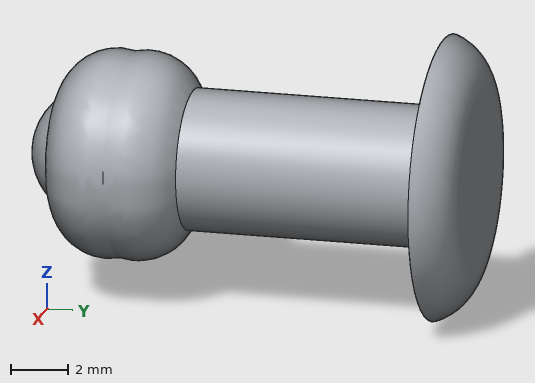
import cadquery as cq
import math

total_length = 16.02
head_radius = 5.038
head_thickness = 1.31
shaft_radius = 2.5
shaft_length = 8.99
round_radius = 2.0
lobe_center_radius = 1.68
lobe_spacing = 1.0
tip_radius = 1.86


def rounded_reach(offset):
    """Distance along one axis to the rounding circle at an offset along the other."""
    return math.sqrt(round_radius**2 - offset**2)


head_flat_radius = head_radius - rounded_reach(round_radius - head_thickness)

collar_start = -shaft_length
back_lobe = collar_start - rounded_reach(shaft_radius - lobe_center_radius)
front_lobe = back_lobe - lobe_spacing
crease = (back_lobe + front_lobe) / 2
crease_radius = lobe_center_radius + rounded_reach(lobe_spacing / 2)
collar_end = front_lobe - rounded_reach(tip_radius - lobe_center_radius)

tip_end = head_thickness - total_length
cap_height = collar_end - tip_end
dome_radius = (tip_radius**2 + cap_height**2) / (2 * cap_height)


def point_on_arc(center, radius, start, end):
    """Point halfway along the shorter arc between two points of a circle."""
    angles = [math.atan2(p[1] - center[1], p[0] - center[0]) for p in (start, end)]
    middle = sum(angles) / 2
    return center[0] + radius * math.cos(middle), center[1] + radius * math.sin(middle)


head_top = (head_flat_radius, head_thickness)
head_rim = (head_radius, 0)
collar_back = (shaft_radius, collar_start)
collar_crease = (crease_radius, crease)
collar_front = (tip_radius, collar_end)
tip = (0, tip_end)

head_center = (head_flat_radius, head_thickness - round_radius)
back_center = (lobe_center_radius, back_lobe)
front_center = (lobe_center_radius, front_lobe)
dome_center = (0, tip_end + dome_radius)

profile = (
    cq.Workplane("XY")
    .moveTo(0, head_thickness)
    .lineTo(*head_top)
    .threePointArc(point_on_arc(head_center, round_radius, head_top, head_rim), head_rim)
    .lineTo(shaft_radius, 0)
    .lineTo(*collar_back)
    .threePointArc(point_on_arc(back_center, round_radius, collar_back, collar_crease), collar_crease)
    .threePointArc(point_on_arc(front_center, round_radius, collar_crease, collar_front), collar_front)
    .threePointArc(point_on_arc(dome_center, dome_radius, collar_front, tip), tip)
    .close()
)

result = profile.revolve(360, (0, 0, 0), (0, 1, 0))